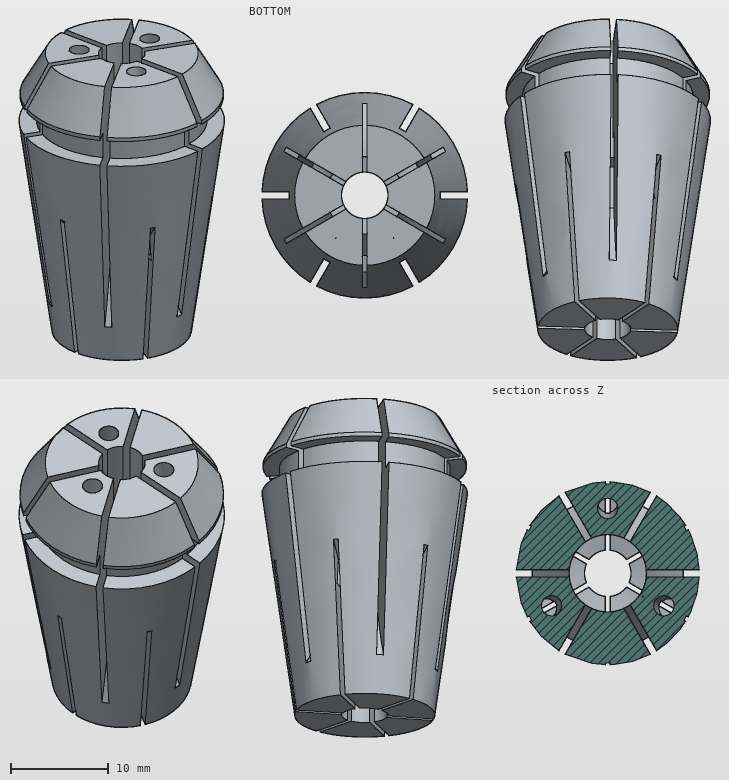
import cadquery as cq
import math

length = 31.5
body_radius = 21.0 / 2
body_taper = 8.0
groove_radius = 8.73
rim_radius = 10.4
nose_taper = 30.0
groove_bottom = 23.85
groove_top = 26.62
rim_top = 27.03

bore_radius = 2.35
relief_radius = 3.95
relief_bottom = 4.72
relief_top = 20.48
relief_angle = 10.0

slot_count = 6
slot_pitch = 360.0 / slot_count
nose_slot_width = 0.72
nose_saw_radius = 30.0
nose_slot_outer_z = 4.03
nose_slot_inner_z = 11.88
tail_slot_width = 0.5
tail_saw_radius = 20.0
tail_slot_outer_z = 16.0
tail_slot_inner_z = 7.02
clearance = 1.58

hole_count = 3
first_hole_angle = 90.0
hole_radius = 1.0
hole_circle_radius = 4.4
hole_tilt = body_taper
hole_depth = 20.15


def rise(run, angle):
    """Height gained over a horizontal run at the given angle in degrees."""
    return run * math.tan(math.radians(angle))


def taper_radius(z):
    """Outside radius of the locking taper at height z."""
    return body_radius - rise(groove_bottom - z, body_taper)


def make_body():
    nose_radius = rim_radius - rise(length - rim_top, nose_taper)
    outline = [
        (0, 0),
        (taper_radius(0), 0),
        (body_radius, groove_bottom),
        (groove_radius, groove_bottom),
        (groove_radius, groove_top),
        (rim_radius, groove_top),
        (rim_radius, rim_top),
        (nose_radius, length),
        (0, length),
    ]
    return cq.Workplane("XZ").polyline(outline).close().revolve(360, (0, 0), (0, 1))


def make_bore():
    shoulder = rise(relief_radius - bore_radius, relief_angle)
    outline = [
        (0, 0),
        (bore_radius, 0),
        (bore_radius, relief_bottom - shoulder),
        (relief_radius, relief_bottom),
        (relief_radius, relief_top),
        (bore_radius, relief_top + shoulder),
        (bore_radius, length),
        (0, length),
    ]
    return cq.Workplane("XZ").polyline(outline).close().revolve(360, (0, 0), (0, 1))


def make_slot(inner, outer, open_z, width, saw_radius):
    """Slot in the +X half, with a saw-disc arc between the inner and outer points.

    The slot runs out past the end of the part at open_z, the side the disc enters from.
    """
    run = outer[0] - inner[0]
    drop = outer[1] - inner[1]
    chord = math.hypot(run, drop)
    sagitta = saw_radius - math.sqrt(saw_radius**2 - (chord / 2) ** 2)
    middle = (
        (inner[0] + outer[0]) / 2 - sagitta * abs(drop) / chord,
        (inner[1] + outer[1]) / 2 + math.copysign(sagitta * run / chord, drop),
    )
    far = body_radius + clearance
    return (
        cq.Workplane("XZ")
        .moveTo(0, inner[1])
        .lineTo(*inner)
        .threePointArc(middle, outer)
        .lineTo(far, outer[1])
        .lineTo(far, open_z)
        .lineTo(0, open_z)
        .close()
        .extrude(width / 2, both=True)
    )


def make_hole():
    return (
        cq.Workplane("XY")
        .circle(hole_radius)
        .extrude(hole_depth + clearance)
        .translate((0, 0, -hole_depth))
        .rotate((0, 0, 0), (0, 1, 0), -hole_tilt)
        .translate((hole_circle_radius, 0, length))
    )


def around_axis(tool, count, first_angle):
    """Copies of a tool spaced evenly about the collet axis."""
    return [
        tool.rotate((0, 0, 0), (0, 0, 1), first_angle + i * 360.0 / count)
        for i in range(count)
    ]


nose_slot = make_slot(
    (relief_radius, nose_slot_inner_z),
    (taper_radius(nose_slot_outer_z), nose_slot_outer_z),
    length + clearance,
    nose_slot_width,
    nose_saw_radius,
)
tail_slot = make_slot(
    (relief_radius, tail_slot_inner_z),
    (taper_radius(tail_slot_outer_z), tail_slot_outer_z),
    -clearance,
    tail_slot_width,
    tail_saw_radius,
)

result = make_body().cut(make_bore())
cutters = around_axis(nose_slot, slot_count, 0)
cutters += around_axis(tail_slot, slot_count, slot_pitch / 2)
cutters += around_axis(make_hole(), hole_count, first_hole_angle)
for cutter in cutters:
    result = result.cut(cutter)